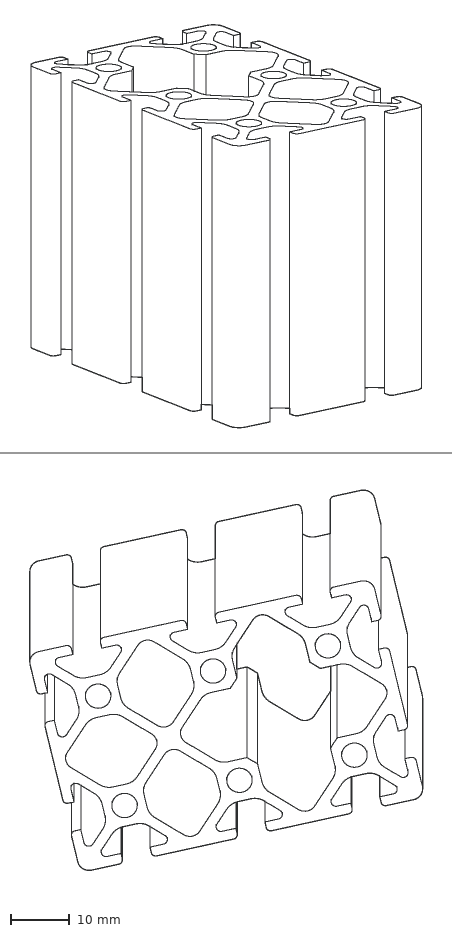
import cadquery as cq
import math

length_x = 60.0
columns = 3
rows = 2
pitch = length_x / columns
half_cell = pitch / 2
width_y = rows * pitch
length_z = 2.5 * pitch
outer_corner_radius = 2.0

boss_half = 3.65
boss_chamfer = 1.5
bore_diameter = 4.3
web_thickness = 1.8
web_half_run = web_thickness / math.sqrt(2)

slot_mouth_half = 2.5
lip_thickness = 1.8
lip_radius = 0.8
slot_tip_radius = 0.85
slot_floor_radius = 3.0

cavity_tip_radius = 2.0
cavity_boss_radius = 3.0

column_x = [(i - (columns - 1) / 2) * pitch for i in range(columns)]
row_y = [(i - (rows - 1) / 2) * pitch for i in range(rows)]


def rounded_prism(corners):
    """Full-length prism over a closed polygon of (x, y, corner radius) entries."""
    outline = cq.Workplane("XY")
    count = len(corners)
    for i, (x, y, radius) in enumerate(corners):
        corner = cq.Vector(x, y)
        to_previous = (cq.Vector(*corners[i - 1][:2]) - corner).normalized()
        to_next = (cq.Vector(*corners[(i + 1) % count][:2]) - corner).normalized()
        half_angle = to_previous.getAngle(to_next) / 2
        setback = radius / math.tan(half_angle)
        arc_start = corner + to_previous * setback
        if i == 0:
            outline = outline.moveTo(arc_start.x, arc_start.y)
        else:
            outline = outline.lineTo(arc_start.x, arc_start.y)
        if radius > 0:
            bisector = (to_previous + to_next).normalized()
            arc_middle = corner + bisector * (radius / math.sin(half_angle) - radius)
            arc_end = corner + to_next * setback
            outline = outline.threePointArc((arc_middle.x, arc_middle.y), (arc_end.x, arc_end.y))
    return outline.close().extrude(length_z)


def mirrored(right_half):
    """Closed corner list from its right half, mirrored about the Y axis."""
    return right_half + [(-x, y, radius) for x, y, radius in reversed(right_half)]


def turned(corners, quarter_turns):
    """Corner list turned about the origin by whole quarter turns."""
    for _ in range(quarter_turns):
        corners = [(-y, x, radius) for x, y, radius in corners]
    return corners


def make_slot():
    """Undercut slot of a cell centred at the origin, opening toward +Y."""
    lip_underside = half_cell - lip_thickness
    flare = slot_mouth_half + 2 * lip_radius
    return rounded_prism(mirrored([
        (boss_half - web_half_run, boss_half, slot_floor_radius),
        (lip_underside - web_half_run, lip_underside, slot_tip_radius),
        (slot_mouth_half, lip_underside, 0),
        (slot_mouth_half, half_cell, lip_radius),
        (flare, half_cell, 0),
        (flare, half_cell + lip_radius, 0),
    ]))


boss_face = half_cell - boss_half
cavity_tip = half_cell - web_half_run


def make_small_cavity():
    """Pocket between two bosses side by side along X, with a tip at each Y end."""
    upper = [
        (boss_face, boss_half - web_half_run, cavity_boss_radius),
        (0, cavity_tip, cavity_tip_radius),
        (-boss_face, boss_half - web_half_run, cavity_boss_radius),
    ]
    return rounded_prism(upper + turned(upper, 2))


def make_large_cavity():
    """Cross-shaped pocket among four bosses, with one tip on each of four arms."""
    boss_web_corner = half_cell + boss_half - web_half_run
    tip = pitch - web_half_run
    arm = [
        (boss_face, boss_face + boss_chamfer, 0),
        (boss_face, boss_web_corner, cavity_boss_radius),
        (0, tip, cavity_tip_radius),
        (-boss_face, boss_web_corner, cavity_boss_radius),
        (-boss_face, boss_face + boss_chamfer, 0),
    ]
    corners = []
    for quarter_turns in range(4):
        corners += turned(arm, quarter_turns)
    return rounded_prism(corners)


body = cq.Workplane("XY").rect(length_x, width_y).extrude(length_z)
body = body.edges("|Z").fillet(outer_corner_radius)

slot = make_slot()
origin = (0, 0, 0)
z_direction = (0, 0, 1)
for x in column_x:
    body = body.cut(slot.translate((x, row_y[-1], 0)))
    body = body.cut(slot.rotate(origin, z_direction, 180).translate((x, row_y[0], 0)))
for y in row_y:
    body = body.cut(slot.rotate(origin, z_direction, 90).translate((column_x[0], y, 0)))
    body = body.cut(slot.rotate(origin, z_direction, -90).translate((column_x[-1], y, 0)))

body = body.cut(make_large_cavity().translate((-half_cell, 0, 0)))

small_cavity = make_small_cavity()
for y in row_y:
    body = body.cut(small_cavity.translate((half_cell, y, 0)))
body = body.cut(small_cavity.rotate(origin, z_direction, 90).translate((column_x[-1], 0, 0)))

bore_centres = [(x, y) for x in column_x for y in row_y]
bores = cq.Workplane("XY").pushPoints(bore_centres).circle(bore_diameter / 2).extrude(length_z)
result = body.cut(bores)